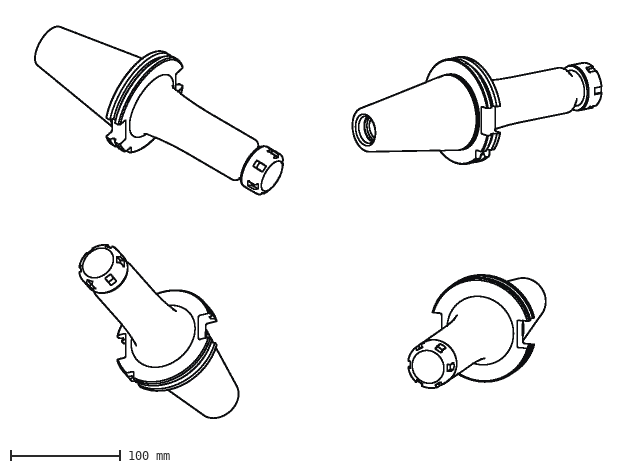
import cadquery as cq
import math


gauge_radius = 35.0
taper_length = 101.2
taper_slope = 7 / 48
small_end_radius = gauge_radius - taper_length * taper_slope
small_end_fillet = 1.8
relief_depth = 0.8
relief_floor_start = 101.8
relief_end = 103.3

flange_start = 105.0
flange_end = 120.9
flange_width = flange_end - flange_start
flange_centre = flange_start + flange_width / 2
flange_radius = 48.7
front_edge_chamfer = 0.8
rear_edge_chamfer = 1.3
groove_centre = 112.7
groove_depth = 3.1
groove_floor_width = 2.4
groove_flank_angle = 30
groove_top_width = groove_floor_width + 2 * groove_depth * math.tan(math.radians(groove_flank_angle))

slot_width = 25.6
slot_floor_minus_y = 37.7
slot_floor_plus_y = 35.5
slot_fillet = 1.5
notch_y = 29.8
notch_z = 29.8
notch_fillet = 1.3

shank_diameter = 42.0
shank_radius = shank_diameter / 2
flare_start_radius = 32.2
flare_bend = 131.0
flare_bend_radius = 24.3
shank_cylinder_start = 175.0
shank_cylinder_end = 229.2
neck_start = 233.5
neck_radius = 16.5
neck_fillet = 1.0
shank_fillet = 1.5

mouth_radius = 14.6
countersink_radius = 13.9
countersink_depth = 0.5
pilot_radius = 12.5
pilot_start = 2.0
pilot_end = 8.5
thread_relief_radius = 11.8
thread_relief_end = 11.0
thread_radius = 10.2
drill_depth = 36.5
drill_point_angle = 120

nut_start = 241.5
nut_end = 261.5
nut_radius = shank_radius
nut_rear_chamfer_length = 1.5
nut_rear_chamfer_depth = 0.5
nut_cone_start = 258.2
nut_face_radius = 15.5
nut_cone_fillet = 1.8
nut_slot_count = 6
nut_slot_width = 6.3
nut_slot_start = 250.0
nut_slot_floor_start = 252.5
nut_slot_floor = 18.0
nut_slot_overcut = 2.5


def turned(profile):
    """Revolve a closed profile of (X, radius) about the X axis."""
    return profile.close().revolve(360, (0, 0, 0), (1, 0, 0))


def around_axis(x):
    """Select the circular edges that lie in the plane at X = x."""
    reach = 2 * flange_radius
    margin = 0.13
    return cq.selectors.BoxSelector((x - margin, -reach, -reach), (x + margin, reach, reach))


def holder_blank():
    """Taper, relief groove and flange, before the slots and the hole are cut."""
    groove_floor = flange_radius - groove_depth
    blank = turned(
        cq.Workplane("XY")
        .moveTo(0, 0)
        .lineTo(0, small_end_radius)
        .lineTo(taper_length, gauge_radius)
        .lineTo(relief_floor_start, gauge_radius - relief_depth)
        .lineTo(relief_end, gauge_radius - relief_depth)
        .lineTo(relief_end, gauge_radius)
        .lineTo(flange_start, gauge_radius)
        .lineTo(flange_start, flange_radius - front_edge_chamfer)
        .lineTo(flange_start + front_edge_chamfer, flange_radius)
        .lineTo(groove_centre - groove_top_width / 2, flange_radius)
        .lineTo(groove_centre - groove_floor_width / 2, groove_floor)
        .lineTo(groove_centre + groove_floor_width / 2, groove_floor)
        .lineTo(groove_centre + groove_top_width / 2, flange_radius)
        .lineTo(flange_end - rear_edge_chamfer, flange_radius)
        .lineTo(flange_end, flange_radius - rear_edge_chamfer)
        .lineTo(flange_end, 0)
    )
    return blank.edges(around_axis(0)).fillet(small_end_fillet)


def shank():
    """Flare, cylinder and neck between the flange and the nut."""
    blank = turned(
        cq.Workplane("XY")
        .moveTo(shank_cylinder_end, shank_radius)
        .lineTo(shank_cylinder_start, shank_radius)
        .tangentArcPoint((flare_bend, flare_bend_radius), relative=False)
        .tangentArcPoint((flange_end, flare_start_radius), relative=False)
        .lineTo(flange_end, 0)
        .lineTo(nut_start, 0)
        .lineTo(nut_start, neck_radius)
        .lineTo(neck_start, neck_radius)
    )
    blank = blank.edges(around_axis(shank_cylinder_end)).fillet(shank_fillet)
    return blank.edges(around_axis(neck_start)).fillet(neck_fillet)


def drawbar_hole():
    """Cutter for the stepped hole, opening at the small end of the taper."""
    thread_start = thread_relief_end + thread_relief_radius - thread_radius
    point_length = thread_radius / math.tan(math.radians(drill_point_angle / 2))
    return turned(
        cq.Workplane("XY")
        .moveTo(0, 0)
        .lineTo(0, mouth_radius)
        .lineTo(countersink_depth, countersink_radius)
        .lineTo(pilot_start, pilot_radius)
        .lineTo(pilot_end, pilot_radius)
        .lineTo(pilot_end, thread_relief_radius)
        .lineTo(thread_relief_end, thread_relief_radius)
        .lineTo(thread_start, thread_radius)
        .lineTo(drill_depth, thread_radius)
        .lineTo(drill_depth + point_length, 0)
    )


def drive_slot(side, floor):
    """Cutter for the slot on the +Y (side = 1) or -Y (side = -1) flank of the flange."""
    cutter = cq.Workplane("XY").box(flange_width, flange_radius, slot_width)
    inner = "<Y" if side > 0 else ">Y"
    cutter = cutter.faces(inner).edges("|X").fillet(slot_fillet)
    return cutter.translate((flange_centre, side * (floor + flange_radius / 2), 0))


def orientation_notch():
    """Cutter for the square corner notch low on the -Y side of the flange."""
    cutter = cq.Workplane("XY").box(flange_width, flange_radius, flange_radius)
    cutter = cutter.edges("|X and >Y and >Z").fillet(notch_fillet)
    return cutter.translate((flange_centre, -notch_y - flange_radius / 2, -notch_z - flange_radius / 2))


def make_holder():
    body = holder_blank()
    body = body.cut(drive_slot(1, slot_floor_plus_y))
    body = body.cut(drive_slot(-1, slot_floor_minus_y))
    body = body.cut(orientation_notch())
    return body.union(shank()).cut(drawbar_hole())


def nut_slot():
    """Cutter for the wrench slot on the -Y side of the nut."""
    outside = nut_radius + nut_slot_overcut
    ramp_slope = (nut_slot_floor_start - nut_slot_start) / (nut_radius - nut_slot_floor)
    outside_start = nut_slot_start - ramp_slope * nut_slot_overcut
    return (
        cq.Workplane("XY")
        .moveTo(outside_start, -outside)
        .lineTo(nut_slot_floor_start, -nut_slot_floor)
        .lineTo(nut_end, -nut_slot_floor)
        .lineTo(nut_end, -outside)
        .close()
        .extrude(nut_slot_width / 2, both=True)
    )


def make_nut():
    nut = turned(
        cq.Workplane("XY")
        .moveTo(nut_start, 0)
        .lineTo(nut_start, nut_radius - nut_rear_chamfer_depth)
        .lineTo(nut_start + nut_rear_chamfer_length, nut_radius)
        .lineTo(nut_cone_start, nut_radius)
        .lineTo(nut_end, nut_face_radius)
        .lineTo(nut_end, 0)
    )
    nut = nut.edges(around_axis(nut_cone_start)).fillet(nut_cone_fillet)
    for index in range(nut_slot_count):
        angle = index * 360 / nut_slot_count
        nut = nut.cut(nut_slot().rotate((0, 0, 0), (1, 0, 0), angle))
    return nut


holder = make_holder()
nut = make_nut()
result = cq.Compound.makeCompound([holder.val(), nut.val()])